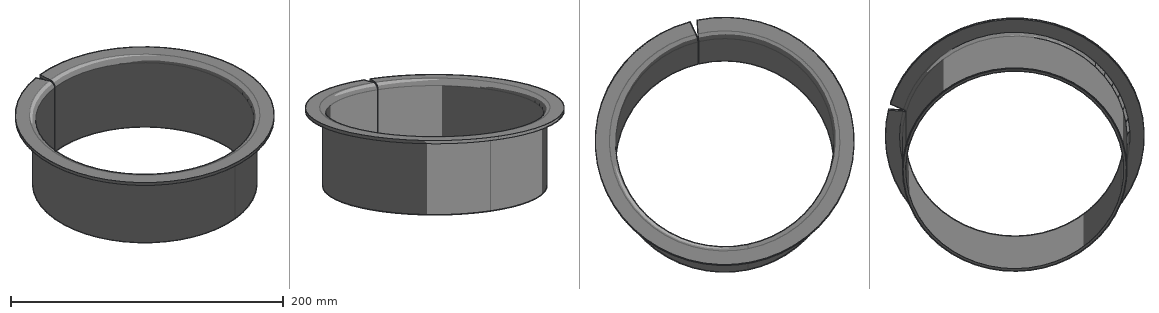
import cadquery as cq
import math

flange_radius = 95.0
height = 60.0
thickness = 2.5
wall_outer_radius = 82.5
outer_bend_radius = 2.0
bottom_chamfer = 0.5

split_angle = 2.0
slit_width = 0.5
notch_width = 5.1
cut_margin = 1.9

wall_inner_radius = wall_outer_radius - thickness
inner_bend_radius = outer_bend_radius + thickness
bend_center_radius = wall_outer_radius + outer_bend_radius
bend_center_z = height - inner_bend_radius
flange_bottom_z = height - thickness


def bend_midpoint(radius):
    """Middle of a quarter bend between the wall and the flange, as (radius, z)."""
    offset = radius * math.sqrt(0.5)
    return bend_center_radius - offset, bend_center_z + offset


def make_collar():
    """Revolve the wall, bend and flange section around Z."""
    section = (
        cq.Workplane("XZ")
        .moveTo(wall_inner_radius, 0)
        .lineTo(wall_outer_radius - bottom_chamfer, 0)
        .lineTo(wall_outer_radius, bottom_chamfer)
        .lineTo(wall_outer_radius, bend_center_z)
        .threePointArc(bend_midpoint(outer_bend_radius), (bend_center_radius, flange_bottom_z))
        .lineTo(flange_radius, flange_bottom_z)
        .lineTo(flange_radius, height)
        .lineTo(bend_center_radius, height)
        .threePointArc(bend_midpoint(inner_bend_radius), (wall_inner_radius, bend_center_z))
        .close()
    )
    return section.revolve(360, (0, 0, 0), (0, 1, 0))


def make_split_cutter():
    """Full-height slit with straight notch sides flaring from the wall to the flange rim."""
    half_slit = slit_width / 2
    half_notch = notch_width / 2
    flare = (half_notch - half_slit) / (flange_radius - wall_outer_radius)
    half_end = half_notch + flare * cut_margin
    slit_start = -(wall_inner_radius - cut_margin)
    notch_end = -(flange_radius + cut_margin)
    outline = [
        (slit_start, -half_slit),
        (-wall_outer_radius, -half_slit),
        (notch_end, -half_end),
        (notch_end, half_end),
        (-wall_outer_radius, half_slit),
        (slit_start, half_slit),
    ]
    cutter = cq.Workplane("XY").polyline(outline).close().extrude(height)
    return cutter.rotate((0, 0, 0), (0, 0, 1), split_angle)


result = make_collar().cut(make_split_cutter())